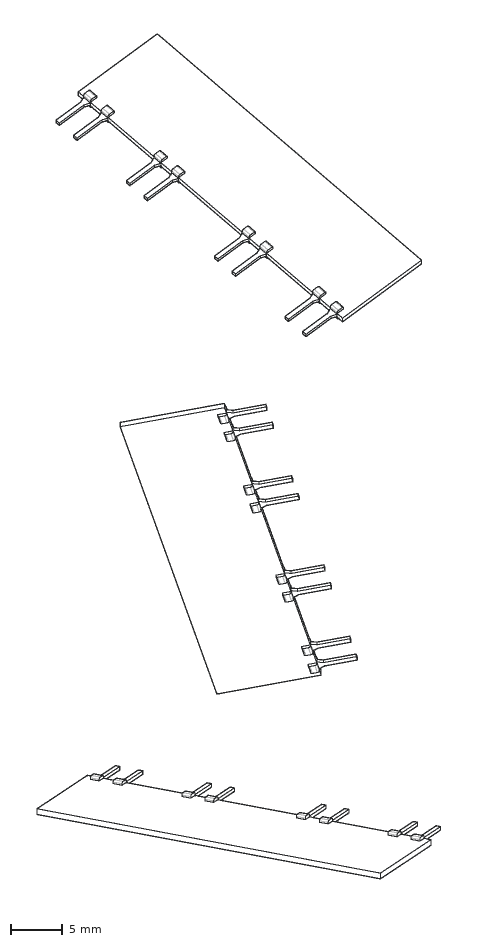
import cadquery as cq

board_length = 38.1
board_depth = 10.55
board_thickness = 0.6

pitch = board_length / 15
pin_grid_steps = [2, 3, 6, 7]

clip_width = 1.0
clip_depth = 0.88
clip_height = 1.3
clip_round_radius = 0.2

total_depth = 14.48
pin_reach = total_depth - board_depth
pin_thickness = 0.4
neck_width = clip_width
neck_reach = 0.6
shank_width = 0.5


def make_board():
    return cq.Workplane("XY").box(
        board_length, board_depth, board_thickness, centered=(True, False, True)
    )


def make_clip():
    """Block around the board edge, rounded along its four edges parallel to X."""
    block = cq.Workplane("XY").box(
        clip_width, clip_depth, clip_height, centered=(True, False, True)
    )
    return block.edges("|X").fillet(clip_round_radius)


def make_pin():
    """Tapered neck and straight shank, starting at the board edge and pointing to -Y."""
    return (
        cq.Workplane("XY")
        .moveTo(-neck_width / 2, 0)
        .lineTo(-shank_width / 2, -neck_reach)
        .lineTo(-shank_width / 2, -pin_reach)
        .lineTo(shank_width / 2, -pin_reach)
        .lineTo(shank_width / 2, -neck_reach)
        .lineTo(neck_width / 2, 0)
        .close()
        .extrude(pin_thickness / 2, both=True)
    )


terminal = make_clip().union(make_pin())
result = make_board()
for step in pin_grid_steps:
    for side in (-1, 1):
        result = result.union(terminal.translate((side * step * pitch, 0, 0)))